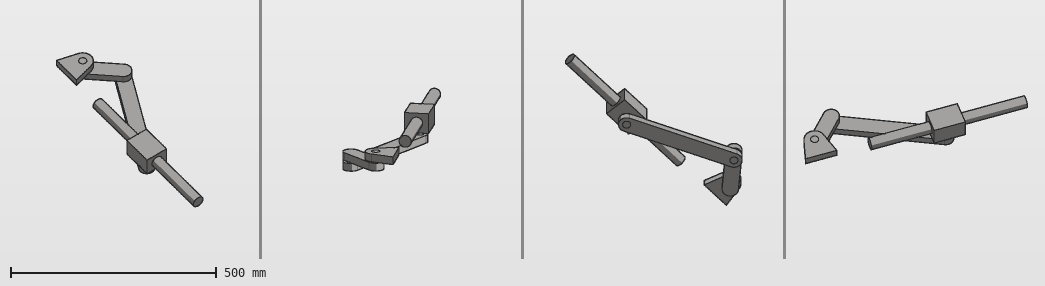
import cadquery as cq
import math


plate_thickness = 20.0
plate_gap = 5.0
link_width = 40.0
pin_diameter = 20.0

elbow_x = 68.0
elbow_y = 73.5
slider_x = 320.0
guide_y = -49.5

bracket_width = 80.0
bracket_nose_radius = 26.0

slider_length = 80.0
slider_width = 60.0
slider_height = 50.0
bar_diameter = 30.0
bar_length = 400.0
bar_start_x = 125.0

crank_bottom = plate_thickness + plate_gap
crank_top = crank_bottom + plate_thickness
bracket_bottom = crank_top + plate_gap
bracket_top = bracket_bottom + plate_thickness
bar_z = (bracket_bottom + bracket_top) / 2
slider_bottom = bar_z - slider_height / 2

pivot = (0, 0)
elbow = (elbow_x, elbow_y)
slider_joint = (slider_x, guide_y)


def vertical_pin(center, bottom, top):
    """Cylinder along Z, used both as a pin and as the cutter of its hole."""
    return (
        cq.Workplane("XY", origin=(*center, bottom))
        .circle(pin_diameter / 2)
        .extrude(top - bottom)
    )


def link_plate(start, end, bottom):
    """Flat bar with round ends centred on two joints."""
    dx = end[0] - start[0]
    dy = end[1] - start[1]
    middle = ((start[0] + end[0]) / 2, (start[1] + end[1]) / 2)
    return (
        cq.Workplane("XY", origin=(*middle, bottom))
        .slot2D(math.hypot(dx, dy) + link_width, link_width, math.degrees(math.atan2(dy, dx)))
        .extrude(plate_thickness)
    )


def guide_cylinder(start_x, length):
    """Cylinder of the bar diameter along the guide axis."""
    return (
        cq.Workplane("YZ", origin=(start_x, guide_y, bar_z))
        .circle(bar_diameter / 2)
        .extrude(length)
    )


def make_bracket():
    """Plate whose straight sides run tangent into a round nose about the pivot."""
    half_width = bracket_width / 2
    corner_distance = math.hypot(half_width, guide_y)
    tangent_angle = math.atan2(guide_y, half_width) + math.acos(bracket_nose_radius / corner_distance)
    tangent_x = bracket_nose_radius * math.cos(tangent_angle)
    tangent_y = bracket_nose_radius * math.sin(tangent_angle)
    plate = (
        cq.Workplane("XY", origin=(0, 0, bracket_bottom))
        .moveTo(-half_width, guide_y)
        .lineTo(half_width, guide_y)
        .lineTo(tangent_x, tangent_y)
        .threePointArc((0, bracket_nose_radius), (-tangent_x, tangent_y))
        .close()
        .extrude(plate_thickness)
    )
    return plate.cut(vertical_pin(pivot, bracket_bottom, bracket_top))


def make_crank():
    """Link with a pin up into the bracket and a pin down into the rod."""
    plate = link_plate(pivot, elbow, crank_bottom)
    bracket_pin = vertical_pin(pivot, crank_top, bracket_top)
    elbow_pin = vertical_pin(elbow, 0, crank_bottom)
    return plate.union(bracket_pin).union(elbow_pin)


def make_connecting_rod():
    """Long link with a through hole at each joint."""
    rod = link_plate(elbow, slider_joint, 0)
    for joint in (elbow, slider_joint):
        rod = rod.cut(vertical_pin(joint, 0, plate_thickness))
    return rod


def make_slider():
    """Block bored for the guide bar, with a pin down into the rod."""
    block = cq.Workplane("XY", origin=(slider_x, guide_y, bar_z)).box(
        slider_length, slider_width, slider_height
    )
    bore = guide_cylinder(slider_x - slider_length / 2, slider_length)
    return block.cut(bore).union(vertical_pin(slider_joint, 0, slider_bottom))


bracket = make_bracket()
crank = make_crank()
connecting_rod = make_connecting_rod()
slider = make_slider()
guide_bar = guide_cylinder(bar_start_x, bar_length)

result = cq.Compound.makeCompound(
    [bracket.val(), crank.val(), connecting_rod.val(), slider.val(), guide_bar.val()]
)